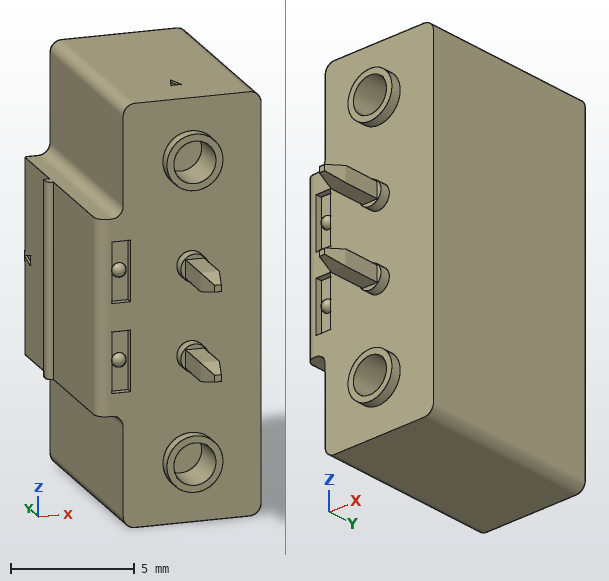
import cadquery as cq
import math

HEIGHT = 18.01
DEPTH = 9.2
RIGHT_X = 3.0
LEFT_X = -2.9
EDGE_RADIUS = 0.5

TONGUE_HEIGHT = 8.37
TONGUE_REACH = 1.1
TONGUE_X = LEFT_X - TONGUE_REACH
TONGUE_BACK_CHAMFER = 0.07

RIB_REACH = 0.25
RIB_WIDTH = 0.49
RIB_BACK_INSET = 3.17
RIB_RADIUS = 0.2

COLLAR_REACH = 0.5
STUD_DIAMETER = 2.4
STUD_BORE = 1.8
STUD_BORE_DEPTH = 1.8
STUD_SPACING = 12.8
CONTACT_SPACING = 3.82
PIN_COLLAR_DIAMETER = 1.2
PIN_SIZE = 0.8
PIN_TIP_SIZE = 0.29
PIN_REACH = 3.4
PIN_TAPER = 1.0

WINDOW_X = -2.99
WINDOW_WIDTH = 0.8
WINDOW_HEIGHT = 2.61
WINDOW_DEPTH = 0.3
NUB_DIAMETER = 0.61

MARKER_WIDTH = 0.43
MARKER_LENGTH = 0.74
MARKER_DEPTH = 0.1
TOP_MARKER_INSET = 1.84
TONGUE_MARKER_BACK_INSET = 0.75


def centre_pair(x, spacing):
    """Two (X, Z) centres placed symmetrically about mid-height."""
    return [(x, -spacing / 2), (x, spacing / 2)]


def front_plane(y=0.0):
    """XZ sketch plane at the given Y, with its normal toward the front."""
    return cq.Workplane("XZ", origin=(0, y, 0))


def box_between(x_range, y_range, z_range):
    """Axis-aligned box between the given limits."""
    corner = (x_range[0], y_range[0], z_range[0])
    size = (x_range[1] - x_range[0], y_range[1] - y_range[0], z_range[1] - z_range[0])
    return cq.Workplane("XY").box(*size, centered=False).translate(corner)


def make_housing():
    """Block and tongue in one profile, with rounded corners and filleted tongue roots."""
    half_height = HEIGHT / 2
    half_tongue = TONGUE_HEIGHT / 2
    block = box_between((LEFT_X, RIGHT_X), (0, DEPTH), (-half_height, half_height))
    tongue = box_between((TONGUE_X, 0), (0, DEPTH), (-half_tongue, half_tongue))
    rounded_block = block.edges("|Y").fillet(EDGE_RADIUS)
    rounded_tongue = tongue.edges("<X and <Y").fillet(EDGE_RADIUS)
    housing = rounded_block.union(rounded_tongue)
    for side in (-1, 1):
        root = (
            front_plane()
            .moveTo(LEFT_X, side * half_tongue)
            .lineTo(LEFT_X, side * (half_tongue + EDGE_RADIUS))
            .radiusArc((LEFT_X - EDGE_RADIUS, side * half_tongue), side * EDGE_RADIUS)
            .close()
            .extrude(-DEPTH)
        )
        housing = housing.union(root)
    return housing


def make_rib():
    """Rib across the tongue face, rounded along its front outer edge."""
    back_y = DEPTH - RIB_BACK_INSET
    half_tongue = TONGUE_HEIGHT / 2
    rib = box_between(
        (TONGUE_X - RIB_REACH, TONGUE_X),
        (back_y - RIB_WIDTH, back_y),
        (-half_tongue, half_tongue),
    )
    return rib.edges("<X and <Y").fillet(RIB_RADIUS)


def make_back_chamfers():
    """Cutters that bevel the tongue's back edge above and below its marker."""
    length = (TONGUE_HEIGHT - MARKER_WIDTH) / 2
    bevel = (
        cq.Workplane("XY")
        .moveTo(TONGUE_X, DEPTH)
        .lineTo(TONGUE_X + TONGUE_BACK_CHAMFER, DEPTH)
        .lineTo(TONGUE_X, DEPTH - TONGUE_BACK_CHAMFER)
        .close()
        .extrude(length)
    )
    upper = bevel.translate((0, 0, MARKER_WIDTH / 2))
    lower = bevel.translate((0, 0, -TONGUE_HEIGHT / 2))
    return upper.union(lower)


def make_studs():
    """Solid round studs on the front face."""
    centres = centre_pair(0, STUD_SPACING)
    return front_plane().pushPoints(centres).circle(STUD_DIAMETER / 2).extrude(COLLAR_REACH)


def make_stud_bores():
    """Cutters for the blind bores that run through the studs into the housing."""
    centres = centre_pair(0, STUD_SPACING)
    stud_face = front_plane(-COLLAR_REACH)
    return stud_face.pushPoints(centres).circle(STUD_BORE / 2).extrude(-STUD_BORE_DEPTH)


def make_pins():
    """Square pins with a round collar at the root and a pyramidal tip."""
    centres = centre_pair(0, CONTACT_SPACING)
    shank_reach = PIN_REACH - PIN_TAPER
    tip_angle = math.degrees(math.atan2((PIN_SIZE - PIN_TIP_SIZE) / 2, PIN_TAPER))
    collars = front_plane().pushPoints(centres).circle(PIN_COLLAR_DIAMETER / 2).extrude(COLLAR_REACH)
    shanks = front_plane().pushPoints(centres).rect(PIN_SIZE, PIN_SIZE).extrude(shank_reach)
    tips = (
        front_plane(-shank_reach)
        .pushPoints(centres)
        .rect(PIN_SIZE, PIN_SIZE)
        .extrude(PIN_TAPER, taper=tip_angle)
    )
    return collars.union(shanks).union(tips)


def make_windows():
    """Cutters for the rectangular windows."""
    centres = centre_pair(WINDOW_X, CONTACT_SPACING)
    return front_plane().pushPoints(centres).rect(WINDOW_WIDTH, WINDOW_HEIGHT).extrude(-WINDOW_DEPTH)


def make_nubs():
    """Balls half sunk into the window floors."""
    centres = centre_pair(WINDOW_X, CONTACT_SPACING)
    return front_plane(WINDOW_DEPTH).pushPoints(centres).sphere(NUB_DIAMETER / 2)


def make_marker(base_centre, inward):
    """Triangle cutter pointing backward, sunk along the inward direction."""
    plane = cq.Plane(origin=base_centre, xDir=(0, 1, 0), normal=inward)
    half_width = MARKER_WIDTH / 2
    outline = [(0, -half_width), (MARKER_LENGTH, 0), (0, half_width)]
    return cq.Workplane(plane).polyline(outline).close().extrude(MARKER_DEPTH)


top_marker = make_marker((0, TOP_MARKER_INSET, HEIGHT / 2), (0, 0, -1))
tongue_marker = make_marker((TONGUE_X, DEPTH - TONGUE_MARKER_BACK_INSET, 0), (1, 0, 0))

result = (
    make_housing()
    .union(make_rib())
    .cut(make_back_chamfers())
    .cut(make_windows())
    .union(make_nubs())
    .union(make_studs())
    .cut(make_stud_bores())
    .union(make_pins())
    .cut(top_marker)
    .cut(tongue_marker)
)